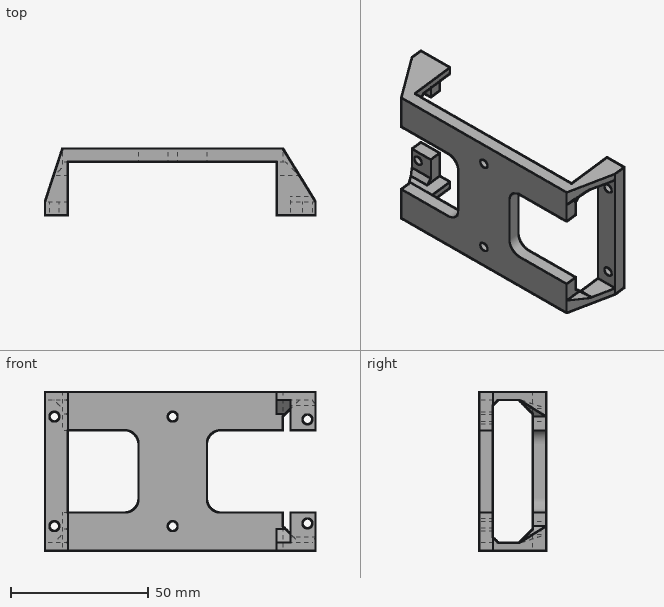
import cadquery as cq

length = 98.7
depth = 24.5
height = 57.9

plate_thickness = 5.0
foot_thickness = 5.0
left_foot_width = 8.4
right_foot_width = 14.2
left_slope_run = 6.4
right_slope_run = 12.0

wall_thickness = 3.0
arm_height = 14.0
web_start = 34.1
web_width = 25.0
web_corner_radius = 5.0

right_pad_width = 9.2

plate_gusset = 5.0
foot_gusset = 2.0
left_end_chamfer = 3.0
right_end_chamfer = 6.0

hole_diameter = 3.5
left_hole_x = 3.5
right_hole_edge_distance = 3.0
hole_inset = 9.0
right_hole_inset = 10.0

plate_front = depth - plate_thickness
plate_left = left_slope_run
plate_right = length - right_slope_run
inner_left = left_foot_width
inner_right = length - right_foot_width
pad_left = length - right_pad_width
right_hole_x = length - right_hole_edge_distance
web_end = web_start + web_width
plate_hole_x = web_start + web_width / 2


def box(x0, x1, y0, y1, z0, z1):
    """Axis-aligned block between the given limits."""
    return cq.Workplane("XY").box(x1 - x0, y1 - y0, z1 - z0, centered=False).translate((x0, y0, z0))


def make_profile():
    """Solid C-shaped bracket profile over the full height."""
    return (
        cq.Workplane("XY")
        .moveTo(0, 0)
        .lineTo(inner_left, 0)
        .lineTo(inner_left, plate_front)
        .lineTo(inner_right, plate_front)
        .lineTo(inner_right, 0)
        .lineTo(length, 0)
        .lineTo(length, foot_thickness)
        .lineTo(plate_right, depth)
        .lineTo(plate_left, depth)
        .lineTo(0, foot_thickness)
        .close()
        .extrude(height)
    )


def make_plate_half():
    """Lower half of the plate: an arm with the central web rising from it."""
    middle = height / 2
    r = web_corner_radius
    return (
        cq.Workplane("XZ", origin=(0, depth, 0))
        .moveTo(plate_left, 0)
        .lineTo(plate_right, 0)
        .lineTo(plate_right, arm_height)
        .lineTo(web_end + r, arm_height)
        .radiusArc((web_end, arm_height + r), r)
        .lineTo(web_end, middle)
        .lineTo(web_start, middle)
        .lineTo(web_start, arm_height + r)
        .radiusArc((web_start - r, arm_height), r)
        .lineTo(plate_left, arm_height)
        .close()
        .extrude(plate_thickness)
    )


def make_plate_gusset():
    """Sloped fillers where the side wall meets the plate, sloped off at the plate ends too."""
    gusset_top = wall_thickness + plate_gusset
    end_top = wall_thickness + right_end_chamfer
    across = (
        cq.Workplane("YZ")
        .moveTo(plate_front - plate_gusset, 0)
        .lineTo(plate_front - plate_gusset, wall_thickness)
        .lineTo(plate_front, gusset_top)
        .lineTo(plate_front, end_top)
        .lineTo(depth, end_top)
        .lineTo(depth, 0)
        .close()
        .extrude(length)
    )
    along = (
        cq.Workplane("XZ", origin=(0, depth, 0))
        .moveTo(plate_left - left_end_chamfer, 0)
        .lineTo(plate_left - left_end_chamfer, wall_thickness)
        .lineTo(plate_left, wall_thickness + left_end_chamfer)
        .lineTo(plate_left, end_top)
        .lineTo(plate_right, end_top)
        .lineTo(plate_right + right_end_chamfer, wall_thickness)
        .lineTo(plate_right + right_end_chamfer, 0)
        .close()
        .extrude(depth)
    )
    return across.intersect(along)


def make_foot_gusset():
    """Small 45 degree filler where the side wall meets the right foot."""
    return (
        cq.Workplane("YZ", origin=(pad_left, 0, 0))
        .moveTo(foot_thickness, wall_thickness)
        .lineTo(foot_thickness + foot_gusset, wall_thickness)
        .lineTo(foot_thickness, wall_thickness + foot_gusset)
        .close()
        .extrude(right_pad_width)
    )


def make_lower_half():
    """Everything below mid-height, before trimming to the bracket profile."""
    wall = box(0, length, 0, depth, 0, wall_thickness)
    left_foot = box(0, inner_left, 0, foot_thickness, 0, height / 2)
    right_foot = box(pad_left, length, 0, foot_thickness, 0, arm_height)
    return (
        wall.union(left_foot)
        .union(right_foot)
        .union(make_plate_half())
        .union(make_plate_gusset())
        .union(make_foot_gusset())
        .intersect(make_profile())
    )


def make_holes():
    """Screw holes through the plate and feet, mirrored about mid-height."""
    lower_points = [
        (left_hole_x, hole_inset),
        (plate_hole_x, hole_inset),
        (right_hole_x, right_hole_inset),
    ]
    upper_points = [(x, height - z) for x, z in lower_points]
    return (
        cq.Workplane("XZ", origin=(0, depth, 0))
        .pushPoints(lower_points + upper_points)
        .circle(hole_diameter / 2)
        .extrude(depth)
    )


lower_half = make_lower_half()
upper_half = lower_half.mirror("XY", (0, 0, height / 2))
result = lower_half.union(upper_half).cut(make_holes()).clean()